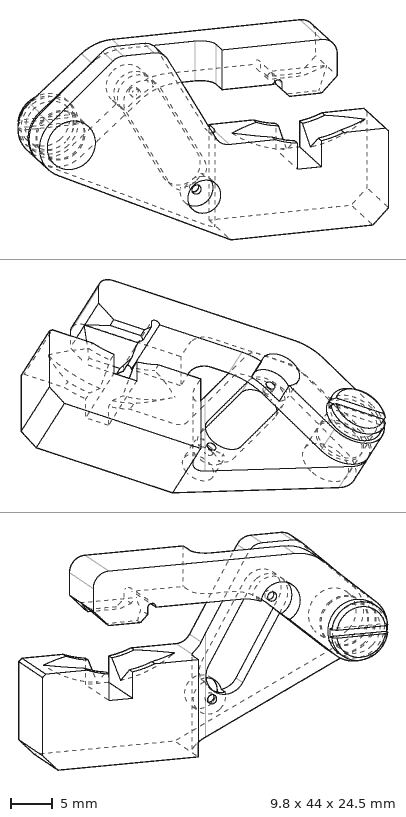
import cadquery as cq
import math


WIDTH = 8.1
ARM_PLATE = 3.85
PLATE_GAP = 0.4
BASE_PLATE_X = ARM_PLATE + PLATE_GAP
MID_X = WIDTH / 2

LENGTH = 44
HUB_RADIUS = 4.0
HUB_Y = HUB_RADIUS - LENGTH
HUB_Z = 14.0
SHANK_RADIUS = 3.05
HEAD_RADIUS = 3.6
HEAD_HEIGHT = 1.7
HEAD_CHAMFER = 0.5
DRIVE_SLOT_WIDTH = 0.95
DRIVE_SLOT_DEPTH = 1.0

BLOCK_END_Y = -19.9
BLOCK_TOP_Z = 12.0
BASE_TOP_Z = 24.5
BLOCK_UNDER_CHAMFER = 2.0
BLOCK_TOP_CHAMFER = 0.4
LEAN = math.radians(60)
PLATE_TOP_FRONT_Y = -28.42
PLATE_TOP_BACK_Y = -34.2
PLATE_CORNER_RADIUS = 2.0
PLATE_FOOT_RADIUS = 2.0
BLOCK_FILLET = 2.5

SEAT_Y = -10.0
SEAT_SLOT_WIDTH = 3.0
SEAT_SLOT_DEPTH = 4.0
SEAT_AXIS_Z = BLOCK_TOP_Z + 10.82
SEAT_RADIUS = 11.65
VEE_RADIUS = 13.7
VEE_HALF_WIDTH = 3.0

POCKET_Y = -30.35
POCKET_Z = 18.15
POCKET_RADIUS = 2.5
POCKET_FLOOR = 0.95
SLOT_TRAVEL = 10.82
SLOT_DEPTH = 2.3
BORE_TRAVEL = 14.25
BORE_RADIUS = 2.05
PIN_HOLE_RADIUS = 0.55

ARM_FRONT_Y = -6.45
ARM_TOP_Z = 24.0
ARM_UNDER_Z = 18.95
ARM_SLOPE = math.radians(40)
ARM_NOSE_RADIUS = 2.0
ARM_BEND_OUTER_RADIUS = 6.0
ARM_BEND_INNER_RADIUS = 7.0
ARM_STEP_Y = -21.0
ARM_STEP_FILLET = 2.0
JAW_UNDER_Z = 17.25
JAW_BACK_Y = -13.4
JAW_FRONT_CHAMFER = 2.0
JAW_BACK_CHAMFER = 0.92
RELIEF_RADIUS = 0.55


def extrude_outline(points):
    """Extrude a (Y, Z) outline over the full width."""
    return cq.Workplane("YZ").polyline(points).close().extrude(WIDTH)


def x_cylinder(y, z, radius, x_start, x_end):
    """Cylinder along X between two X positions."""
    return cq.Workplane("YZ", origin=(x_start, y, z)).circle(radius).extrude(x_end - x_start)


def round_corner(body, y, z, radius):
    """Round the edge along X that passes through (y, z)."""
    corner = cq.selectors.NearestToPointSelector((MID_X, y, z))
    return body.edges("|X").edges(corner).fillet(radius)


def hub_point(angle):
    """Point on the hub circle; the angle is measured from +Y towards +Z."""
    return (HUB_Y + HUB_RADIUS * math.cos(angle), HUB_Z + HUB_RADIUS * math.sin(angle))


def hub_tangent(y, z, turn):
    """Point where a line from (y, z) touches the hub; turn is +1 or -1 for the two sides."""
    to_point = math.atan2(z - HUB_Z, y - HUB_Y)
    opening = math.acos(HUB_RADIUS / math.hypot(y - HUB_Y, z - HUB_Z))
    return hub_point(to_point + turn * opening)


def along_slot(travel):
    """(Y, Z) at a distance down the slot from the arm pocket's centre."""
    return (POCKET_Y + travel * math.cos(LEAN), POCKET_Z - travel * math.sin(LEAN))


def side_relief(x_start, x_end, y_end, corner_x, radius):
    """Full-height cut from y_end back past the hub, with one rounded inner corner."""
    cut = (
        cq.Workplane("XY")
        .box(x_end - x_start, LENGTH, BASE_TOP_Z, centered=False)
        .translate((x_start, y_end - LENGTH, 0))
    )
    corner = cq.selectors.NearestToPointSelector((corner_x, y_end, BASE_TOP_Z / 2))
    return cut.edges("|Z").edges(corner).fillet(radius)


def make_jaw_seat():
    """Cutter for the seat: a square slot, a shallow round trough and a curved vee."""
    slot = cq.Workplane("XY").box(WIDTH, SEAT_SLOT_WIDTH, 2 * SEAT_SLOT_DEPTH)
    slot = slot.translate((MID_X, SEAT_Y, BLOCK_TOP_Z))
    trough = x_cylinder(SEAT_Y, SEAT_AXIS_Z, SEAT_RADIUS, 0, WIDTH)
    vee = (
        cq.Workplane("XY", origin=(MID_X, SEAT_Y, SEAT_AXIS_Z))
        .polyline([
            (-VEE_HALF_WIDTH, 0),
            (-VEE_HALF_WIDTH, SEAT_RADIUS),
            (0, VEE_RADIUS),
            (VEE_HALF_WIDTH, SEAT_RADIUS),
            (VEE_HALF_WIDTH, 0),
        ])
        .close()
        .revolve(360, (0, 0, 0), (1, 0, 0))
    )
    return slot.union(trough).union(vee)


def make_spring_slot():
    """Cutter for the blind slot in the base plate's inner face."""
    mid_y, mid_z = along_slot(SLOT_TRAVEL / 2)
    return (
        cq.Workplane("YZ", origin=(BASE_PLATE_X, mid_y, mid_z))
        .slot2D(SLOT_TRAVEL + 2 * POCKET_RADIUS, 2 * POCKET_RADIUS, -math.degrees(LEAN))
        .extrude(SLOT_DEPTH)
    )


def make_base():
    """Jaw block and the plate that carries the pivot."""
    foot_y = PLATE_TOP_FRONT_Y + (BASE_TOP_Z - BLOCK_TOP_Z) / math.tan(LEAN)
    base = extrude_outline([
        (-BLOCK_UNDER_CHAMFER, 0),
        (0, BLOCK_UNDER_CHAMFER),
        (0, BLOCK_TOP_Z - BLOCK_TOP_CHAMFER),
        (-BLOCK_TOP_CHAMFER, BLOCK_TOP_Z),
        (foot_y, BLOCK_TOP_Z),
        (PLATE_TOP_FRONT_Y, BASE_TOP_Z),
        (PLATE_TOP_BACK_Y, BASE_TOP_Z),
        hub_tangent(PLATE_TOP_BACK_Y, BASE_TOP_Z, 1),
        (HUB_Y, HUB_Z),
        hub_tangent(BLOCK_END_Y, 0, -1),
        (BLOCK_END_Y, 0),
    ])
    base = round_corner(base, foot_y, BLOCK_TOP_Z, PLATE_FOOT_RADIUS)
    for corner_y in (PLATE_TOP_FRONT_Y, PLATE_TOP_BACK_Y):
        base = round_corner(base, corner_y, BASE_TOP_Z, PLATE_CORNER_RADIUS)
    base = base.union(x_cylinder(HUB_Y, HUB_Z, HUB_RADIUS, 0, WIDTH))
    base = base.cut(side_relief(0, BASE_PLATE_X, BLOCK_END_Y, BASE_PLATE_X, BLOCK_FILLET))
    base = base.cut(make_jaw_seat())
    base = base.cut(make_spring_slot())
    bore_y, bore_z = along_slot(BORE_TRAVEL)
    base = base.cut(x_cylinder(bore_y, bore_z, BORE_RADIUS, BASE_PLATE_X + POCKET_FLOOR, WIDTH))
    base = base.cut(x_cylinder(bore_y, bore_z, PIN_HOLE_RADIUS, BASE_PLATE_X, WIDTH))
    return base.cut(x_cylinder(HUB_Y, HUB_Z, SHANK_RADIUS, BASE_PLATE_X, WIDTH))


def make_jaw_vee():
    """Cutter for the jaw's vee, as steep as the seat's; it opens into the relief groove."""
    depth = VEE_RADIUS - SEAT_RADIUS
    back_y = JAW_BACK_Y - RELIEF_RADIUS
    return (
        cq.Workplane("XZ", origin=(MID_X, ARM_FRONT_Y, JAW_UNDER_Z))
        .polyline([(-VEE_HALF_WIDTH, 0), (0, depth), (VEE_HALF_WIDTH, 0)])
        .close()
        .extrude(ARM_FRONT_Y - back_y)
    )


def make_arm():
    """Swinging arm: jaw at the front, a wide bar, and a narrower plate down to the pivot."""
    upper_touch = hub_point(math.pi / 2 + ARM_SLOPE)
    lower_touch = hub_point(-math.pi / 2 + ARM_SLOPE)
    outer_bend_y = upper_touch[0] + (ARM_TOP_Z - upper_touch[1]) / math.tan(ARM_SLOPE)
    inner_bend_y = lower_touch[0] + (ARM_UNDER_Z - lower_touch[1]) / math.tan(ARM_SLOPE)
    arm = extrude_outline([
        (ARM_FRONT_Y, ARM_TOP_Z),
        (ARM_FRONT_Y, JAW_UNDER_Z + JAW_FRONT_CHAMFER),
        (ARM_FRONT_Y - JAW_FRONT_CHAMFER, JAW_UNDER_Z),
        (JAW_BACK_Y + JAW_BACK_CHAMFER, JAW_UNDER_Z),
        (JAW_BACK_Y, JAW_UNDER_Z + JAW_BACK_CHAMFER),
        (JAW_BACK_Y, ARM_UNDER_Z),
        (inner_bend_y, ARM_UNDER_Z),
        lower_touch,
        (HUB_Y, HUB_Z),
        upper_touch,
        (outer_bend_y, ARM_TOP_Z),
    ])
    arm = round_corner(arm, ARM_FRONT_Y, ARM_TOP_Z, ARM_NOSE_RADIUS)
    arm = round_corner(arm, outer_bend_y, ARM_TOP_Z, ARM_BEND_OUTER_RADIUS)
    arm = round_corner(arm, inner_bend_y, ARM_UNDER_Z, ARM_BEND_INNER_RADIUS)
    arm = arm.union(x_cylinder(HUB_Y, HUB_Z, HUB_RADIUS, 0, WIDTH))
    arm = arm.cut(x_cylinder(JAW_BACK_Y - RELIEF_RADIUS, ARM_UNDER_Z, RELIEF_RADIUS, 0, WIDTH))
    arm = arm.cut(make_jaw_vee())
    arm = arm.cut(side_relief(ARM_PLATE, WIDTH, ARM_STEP_Y, ARM_PLATE, ARM_STEP_FILLET))
    arm = arm.cut(x_cylinder(POCKET_Y, POCKET_Z, POCKET_RADIUS, 0, ARM_PLATE - POCKET_FLOOR))
    arm = arm.cut(x_cylinder(POCKET_Y, POCKET_Z, PIN_HOLE_RADIUS, 0, ARM_PLATE))
    return arm.cut(x_cylinder(HUB_Y, HUB_Z, SHANK_RADIUS, 0, ARM_PLATE))


def make_screw():
    """Pivot screw with a slotted, chamfered head."""
    head = x_cylinder(HUB_Y, HUB_Z, HEAD_RADIUS, -HEAD_HEIGHT, 0)
    head = head.faces("<X").chamfer(HEAD_CHAMFER)
    drive_slot = cq.Workplane("XY").box(2 * DRIVE_SLOT_DEPTH, 2 * HEAD_RADIUS, DRIVE_SLOT_WIDTH)
    head = head.cut(drive_slot.translate((-HEAD_HEIGHT, HUB_Y, HUB_Z)))
    return head.union(x_cylinder(HUB_Y, HUB_Z, SHANK_RADIUS, 0, WIDTH))


base = make_base().solids()
arm = make_arm().solids()
screw = make_screw().solids()

result = cq.Compound.makeCompound([base.val(), arm.val(), screw.val()])